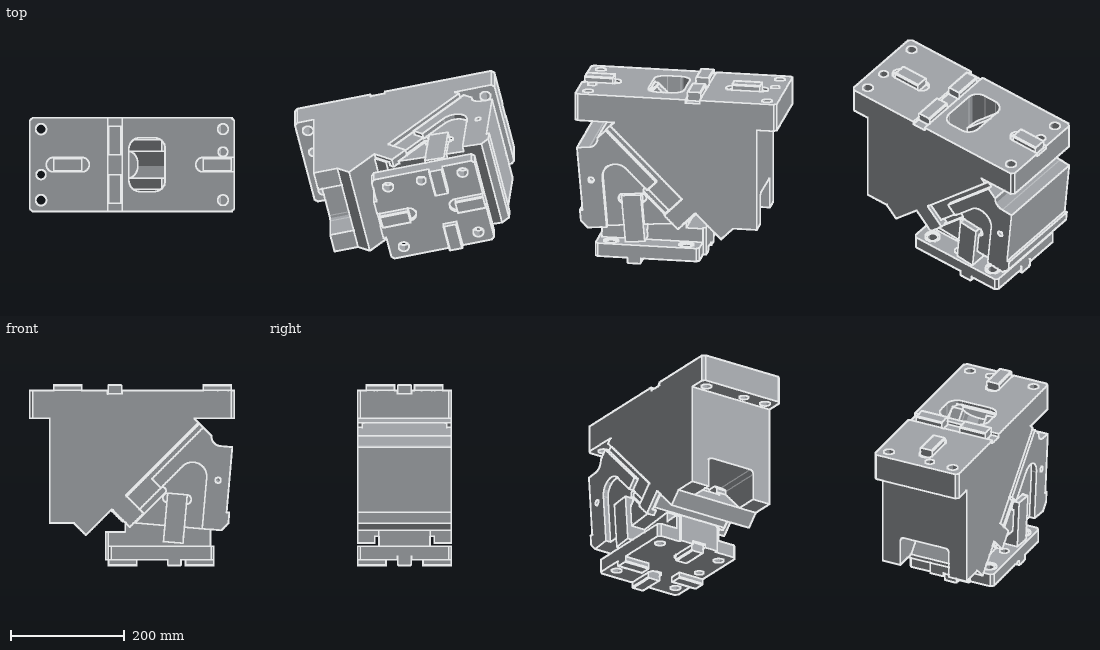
import cadquery as cq
import math


length = 360
width = 165
half_width = width / 2
height = 318
key_height = 10
key_seat_depth = 6
key_width = 25
key_clearance = 0.5
key_length = 50
key_edge_break = 1.5
key_bar_width = key_width - 1
corner_chamfer = 5
reach = 2 * length

guide_angle = math.radians(45)
guide_x = 169
guide_z = 123.5
guide_end = 181

holder_top = height - key_height
plate_thickness = 49
plate_bottom = holder_top - plate_thickness
body_start_x = 35
body_bottom = 74.5
lip_thickness = 30
leg_length = 34.6
leg_depth = 44.5
leg_thickness = 7.5
hook_thickness = 15
hook_gap = 0.5
cross_key_x = 150
cross_key_offset = 42.5
left_key_x = 67
right_key_x = length - corner_chamfer - key_length / 2
screw_diameter = 18.5
dowel_diameter = 16.5
plate_hole_inset = 20
plate_screw_offset = 62.5
left_dowel_y = -17.5
right_dowel_y = 22.5

pocket_start_x = 174.5
pocket_end_x = 238.5
pocket_width = 95
pocket_corner_radius = 20
pocket_floor_rise = 76
floor_chamfer = 4
spring_axis_rise = 63
spring_radius = 23.5
spring_seat = 70
spring_end = 166
undercut_length = 15
undercut_roof = 300
window_top = 131
window_back_x = 120
window_ledge_z = 124.5
window_corner_radius = 7
slot_half_width = 28.5
slot_start_x = 111.5
slot_depth = 15

tilt = math.radians(5)
flange_half_width = half_width - 8
flange_thickness = 34.5
flange_chamfer = 2.5
slider_start = -36.8
cheek_start = 53
cheek_top = 12
nose_depth = 32.5
recess_depth = 10
slot_bottom = 46
hook_slot_depth = 15.5
hook_slot_end = 52
working_x = 356.7
working_top = 208.5
working_step_z = 93.5
working_step = 4.8
working_chamfer_top = 74.5
underside_x = 337.4
underside_z = 61.7
notch_radius = 17
recess_radius = 25
recess_edge_x = 311.8
recess_edge_z = 159.5
screw_pocket_x = 331.4
screw_pocket_z = 150
screw_pocket_radius = 5
screw_pocket_depth = 8
drill_point_angle = math.radians(118)
return_bar_x = 256.25
return_bar_z = 83.3
return_bar_width = 34.5
return_bar_length = 85.5
return_bar_inner_y = 45
return_bar_tip_inner_y = 52
return_bar_tip_length = 12
bar_seat_length = 50
bar_seat_width = 16.5
bar_seat_depth = 6

driver_bottom = key_height
flange_top = 34
nose_start_x = 133.5
nose_half_width = 38
flange_start_x = 138.5
driver_end_x = 324
pedestal_half_width = 45
pedestal_step_x = 168
pedestal_step_z = 59
pedestal_end_x = 318.5
driver_cross_key_x = 254.5
driver_left_key_x = flange_start_x + key_length / 2
driver_right_key_x = driver_end_x - key_length / 2
driver_screw_xs = (164.5, 299)
driver_hole_y = 62.5
driver_dowel_x = 224.5
counterbore_diameter = 26
counterbore_depth = 2


def on_slope(along, below):
    """Point (X, Z) given in the inclined guide frame."""
    cos_a = math.cos(guide_angle)
    sin_a = math.sin(guide_angle)
    return (guide_x + along * cos_a + below * sin_a, guide_z + along * sin_a - below * cos_a)


def slab(points, half_thickness):
    """Prism of an X-Z outline, centred on Y = 0."""
    return cq.Workplane("XZ").polyline(points).close().extrude(half_thickness, both=True)


def sides(points, inner_y, outer_y):
    """The same X-Z outline as two prisms, one on each side of the unit."""
    return slab(points, outer_y).cut(slab(points, inner_y))


def block(x0, x1, y0, y1, z0, z1):
    return cq.Workplane("XY").box(x1 - x0, y1 - y0, z1 - z0, centered=False).translate((x0, y0, z0))


def key(x, y, along_x, z0, z1, broken_face):
    """Rectangular key with the long edges of its free face slightly broken."""
    x_size, y_size = (key_length, key_bar_width) if along_x else (key_bar_width, key_length)
    bar = cq.Workplane("XY").box(x_size, y_size, z1 - z0).translate((x, y, (z0 + z1) / 2))
    long_edges = "|X" if along_x else "|Y"
    return bar.faces(broken_face).edges(long_edges).chamfer(key_edge_break)


def hole(x, y, diameter, z0, z1):
    return cq.Workplane("XY", origin=(x, y, z0)).circle(diameter / 2).extrude(z1 - z0)


def key_seat(x0, x1, z0, z1):
    """Round-ended seat along X, between the outermost points x0 and x1."""
    seat = cq.Workplane("XY", origin=((x0 + x1) / 2, 0, z0))
    return seat.slot2D(x1 - x0, key_width + key_clearance).extrude(z1 - z0)


def top_pocket():
    """Rounded pocket down to an inclined floor that carries the round spring channel."""
    x_size = pocket_end_x - pocket_start_x
    shaft = (
        cq.Workplane("XY")
        .box(x_size, pocket_width, holder_top)
        .edges("|Z")
        .fillet(pocket_corner_radius)
        .translate(((pocket_start_x + pocket_end_x) / 2, 0, holder_top / 2))
    )
    climb = (math.cos(guide_angle), 0, math.sin(guide_angle))

    def section(along):
        """Plane square to the slope: its x is Y and its y is the distance above the guide face."""
        x, z = on_slope(along, 0)
        return cq.Workplane(cq.Plane(origin=(x, 0, z), xDir=(0, 1, 0), normal=climb))

    wall_y = pocket_width / 2
    floor_y = wall_y - floor_chamfer
    edge_rise = pocket_floor_rise - floor_chamfer
    above_floor = (
        section(0)
        .polyline([(-wall_y, edge_rise), (-floor_y, pocket_floor_rise), (floor_y, pocket_floor_rise),
                   (wall_y, edge_rise), (wall_y, reach), (-wall_y, reach)])
        .close()
        .extrude(reach)
    )
    spring_length = spring_end - spring_seat
    bore = section(spring_seat).center(0, spring_axis_rise).circle(spring_radius).extrude(spring_length)
    channel = (
        section(spring_seat)
        .center(0, (spring_axis_rise + pocket_floor_rise) / 2)
        .rect(2 * spring_radius, pocket_floor_rise - spring_axis_rise)
        .extrude(spring_length)
    )
    below_opening = block(pocket_start_x, length, -width, width, 0, holder_top)
    undercut_rise = pocket_floor_rise - lip_thickness
    undercut = (
        section(spring_end)
        .center(0, lip_thickness + undercut_rise / 2)
        .rect(2 * floor_y, undercut_rise)
        .extrude(undercut_length)
        .intersect(block(0, length, -width, width, 0, undercut_roof))
    )
    spring_space = channel.union(bore).intersect(below_opening)
    return shaft.intersect(above_floor).union(spring_space).union(undercut)


def window():
    """Opening in the -X wall, above the inclined lip, with a slot through the lip's surface."""
    lip_x, lip_z = on_slope(-leg_length, -lip_thickness)
    floor_rise = lip_z - lip_x
    ledge_x = window_back_x + window_top - window_ledge_z
    opening = slab(
        [(0, 0), (-floor_rise, 0), (window_back_x, window_back_x + floor_rise),
         (window_back_x, window_ledge_z), (ledge_x, window_top), (0, window_top)],
        pocket_width / 2,
    )
    opening = opening.faces(">Z").edges("|X").fillet(window_corner_radius)
    slot_drop = slot_depth * math.cos(guide_angle)
    slot_z = slot_start_x + floor_rise
    end_x = window_ledge_z - floor_rise + 2 * slot_drop
    slot = slab(
        [(slot_start_x, slot_z), (slot_start_x + slot_drop, slot_z - slot_drop),
         (end_x, window_ledge_z), (end_x - (window_top - window_ledge_z), window_top),
         (slot_start_x, window_top)],
        slot_half_width,
    )
    return opening.union(slot)


def make_holder():
    plate = block(0, length, -half_width, half_width, plate_bottom, holder_top)
    plate = plate.edges("|Z").chamfer(corner_chamfer)
    lip_corner_z = on_slope(-leg_length, -lip_thickness)[1]
    lip_tip = -leg_length - math.sqrt(2) * (lip_corner_z - body_bottom)
    end_x, end_z = on_slope(guide_end, 0)
    shoulder_x = end_x - (plate_bottom - end_z)
    body = slab(
        [(body_start_x, holder_top), (body_start_x, body_bottom), on_slope(lip_tip, -lip_thickness),
         on_slope(lip_tip, 0), (end_x, end_z), (shoulder_x, plate_bottom), (shoulder_x, holder_top)],
        half_width,
    )
    leg_outline = [on_slope(-leg_length, 0), on_slope(0, 0),
                   on_slope(0, leg_depth), on_slope(-leg_length, leg_depth)]
    legs = sides(leg_outline, half_width - leg_thickness, half_width)
    hook_top = flange_thickness + hook_gap
    hook_outline = [on_slope(-leg_length, hook_top), on_slope(0, hook_top),
                    on_slope(0, leg_depth), on_slope(-leg_length, leg_depth)]
    hooks = sides(hook_outline, half_width - hook_thickness, half_width)
    holder = plate.union(body).union(legs).union(hooks).cut(top_pocket()).cut(window())

    seat_z = holder_top - key_seat_depth
    groove_half = (key_width + key_clearance) / 2
    holder = holder.cut(
        block(cross_key_x - groove_half, cross_key_x + groove_half, -width, width, seat_z, height)
    )
    half_seat = key_length / 2 + groove_half
    holder = holder.cut(key_seat(left_key_x - half_seat, left_key_x + half_seat, seat_z, height))
    holder = holder.cut(key_seat(right_key_x - half_seat, length + key_width, seat_z, height))
    for x in (left_key_x, right_key_x):
        holder = holder.union(key(x, 0, True, seat_z, height, ">Z"))
    for side in (-1, 1):
        holder = holder.union(key(cross_key_x, side * cross_key_offset, False, seat_z, height, ">Z"))

    right_x = length - plate_hole_inset
    for x, dowel_y in ((plate_hole_inset, left_dowel_y), (right_x, right_dowel_y)):
        holder = holder.cut(hole(x, dowel_y, dowel_diameter, plate_bottom, holder_top))
        for side in (-1, 1):
            holder = holder.cut(
                hole(x, side * plate_screw_offset, screw_diameter, plate_bottom, holder_top)
            )
    return holder


def slider_bottom(x):
    """Height of the tilted underside at x."""
    return underside_z + (underside_x - x) * math.tan(tilt)


def slider_outline(start, top):
    """Side outline from the slope-wise start, with its upper side 'top' below the guide face."""
    sx, sz = on_slope(start, top)
    foot_x = sx + (sz - slider_bottom(sx)) / (1 - math.tan(tilt))
    nose_x, nose_z = on_slope(guide_end, nose_depth)
    notch_x = nose_x + notch_radius
    floor_z = working_top + (working_x - notch_x) * math.tan(tilt)
    notch_z = floor_z + notch_radius / math.cos(tilt)
    arc_end = (notch_x - notch_radius * math.sin(tilt), notch_z - notch_radius * math.cos(tilt))
    mid_angle = math.radians(180) + (math.radians(90) - tilt) / 2
    arc_mid = (notch_x + notch_radius * math.cos(mid_angle), notch_z + notch_radius * math.sin(mid_angle))
    step_x = working_x - (working_top - working_step_z) * math.tan(tilt)
    toe_x = step_x + working_step
    toe_end_x = toe_x - (working_step_z - working_chamfer_top) * math.tan(tilt)
    return (
        cq.Workplane("XZ")
        .moveTo(sx, sz)
        .lineTo(foot_x, slider_bottom(foot_x))
        .lineTo(underside_x, underside_z)
        .lineTo(toe_end_x, working_chamfer_top)
        .lineTo(toe_x, working_step_z)
        .lineTo(step_x, working_step_z)
        .lineTo(working_x, working_top)
        .lineTo(*arc_end)
        .threePointArc(arc_mid, (nose_x, notch_z))
        .lineTo(nose_x, nose_z)
        .lineTo(*on_slope(guide_end, top))
        .close()
    )


def side_recess():
    """Recess in both sides, between the flange and a tilted edge, with a round top."""
    lean = math.tan(tilt)
    flange_x, flange_z = on_slope(0, flange_thickness)
    foot_x = recess_edge_x - recess_edge_z * lean
    apex_z = (foot_x - flange_x + flange_z) / (1 - lean)
    apex = (foot_x + apex_z * lean, apex_z)
    outline = [apex, (apex[0] - apex_z, 0), (foot_x, 0)]
    recess = sides(outline, half_width - recess_depth, width)
    return recess.edges("|Y").edges(">Z").fillet(recess_radius)


def hook_slot():
    """Round-ended slot in both sides, under the flange, that the holder's hooks run in."""
    slot_middle = (flange_thickness + slot_bottom) / 2
    slot_radius = (slot_bottom - flange_thickness) / 2
    outline = (
        cq.Workplane("XZ")
        .moveTo(*on_slope(-reach, flange_thickness))
        .lineTo(*on_slope(hook_slot_end, flange_thickness))
        .threePointArc(on_slope(hook_slot_end + slot_radius, slot_middle), on_slope(hook_slot_end, slot_bottom))
        .lineTo(*on_slope(-reach, slot_bottom))
        .close()
    )
    web_half_width = half_width - hook_slot_depth
    web = block(-reach, reach, -web_half_width, web_half_width, -reach, reach)
    return outline.extrude(width, both=True).cut(web)


def on_bar_axis(shape):
    """Moves a shape built upright about the origin to the tilted axis of the return bars."""
    return shape.rotate((0, 0, 0), (0, 1, 0), math.degrees(tilt)).translate((return_bar_x, 0, return_bar_z))


def bar_seat(side):
    """Round-ended seat for the top of a return bar, sunk into the recess floor."""
    centre_z = (return_bar_length - bar_seat_width) / 2
    seat = cq.Workplane("XZ", origin=(0, side * half_width, centre_z))
    return seat.slot2D(bar_seat_length, bar_seat_width).extrude(side * (recess_depth + bar_seat_depth))


def return_bar(side):
    """Upright bar whose lower tip is thinned on its inner face."""
    half_length = return_bar_length / 2
    half_bar = return_bar_width / 2
    tip_z = return_bar_tip_length - half_length
    bar = block(-half_bar, half_bar, return_bar_inner_y, half_width, -half_length, half_length)
    bar = bar.cut(block(-half_bar, half_bar, 0, return_bar_tip_inner_y, -half_length, tip_z))
    return bar if side > 0 else bar.mirror("XZ")


def screw_pocket(side):
    """Blind drilled hole with a conical point, bored inwards from one side."""
    point_depth = screw_pocket_radius / math.tan(drill_point_angle / 2)
    profile = [(0, 0), (screw_pocket_radius, 0), (screw_pocket_radius, screw_pocket_depth),
               (0, screw_pocket_depth + point_depth)]
    drill = cq.Workplane("XY").polyline(profile).close().revolve(360, (0, 0, 0), (0, 1, 0))
    if side > 0:
        drill = drill.mirror("XZ")
    return drill.translate((screw_pocket_x, side * half_width, screw_pocket_z))


def make_slider():
    climb = cq.Vector(math.cos(guide_angle), 0, math.sin(guide_angle))
    core = slider_outline(slider_start, 0).extrude(flange_half_width, both=True)
    core = core.edges(cq.selectors.ParallelDirSelector(climb)).chamfer(flange_chamfer)
    cheeks = slider_outline(cheek_start, cheek_top).extrude(half_width, both=True)
    slider = core.union(cheeks)

    for cutter in (side_recess(), hook_slot()):
        slider = slider.cut(cutter)
    for side in (-1, 1):
        slider = slider.cut(on_bar_axis(bar_seat(side))).union(on_bar_axis(return_bar(side)))
        slider = slider.cut(screw_pocket(side))
    return slider


def make_driver():
    base = block(flange_start_x, driver_end_x, -half_width, half_width, driver_bottom, flange_top)
    base = base.edges("|Z").chamfer(corner_chamfer)
    pedestal = slab(
        [(flange_start_x, driver_bottom), (pedestal_end_x, driver_bottom),
         (pedestal_end_x, slider_bottom(pedestal_end_x)),
         (pedestal_step_x, slider_bottom(pedestal_step_x)),
         (pedestal_step_x, pedestal_step_z), (flange_start_x, pedestal_step_z)],
        pedestal_half_width,
    )
    nose = block(
        nose_start_x, flange_start_x, -nose_half_width, nose_half_width, driver_bottom, pedestal_step_z
    )
    driver = base.union(pedestal).union(nose)
    seat_z = driver_bottom + key_seat_depth
    counterbore_floor = flange_top - counterbore_depth
    half_seat = key_length / 2 + key_width / 2
    driver = driver.cut(key_seat(nose_start_x - key_width, driver_left_key_x + half_seat, 0, seat_z))
    driver = driver.cut(key_seat(driver_right_key_x - half_seat, driver_end_x + key_width, 0, seat_z))
    for x in (driver_left_key_x, driver_right_key_x):
        driver = driver.union(key(x, 0, True, 0, seat_z, "<Z"))
    for side in (-1, 1):
        key_y = side * (half_width - key_length / 2)
        driver = driver.union(key(driver_cross_key_x, key_y, False, 0, seat_z, "<Z"))
        for x in driver_screw_xs:
            y = side * driver_hole_y
            driver = driver.cut(hole(x, y, screw_diameter, 0, flange_top))
            driver = driver.cut(hole(x, y, counterbore_diameter, counterbore_floor, flange_top))
    driver = driver.cut(hole(driver_dowel_x, -driver_hole_y, dowel_diameter, 0, flange_top))
    return driver


holder = make_holder()
slider = make_slider()
driver = make_driver()
result = cq.Compound.makeCompound([*holder.vals(), *slider.vals(), *driver.vals()])